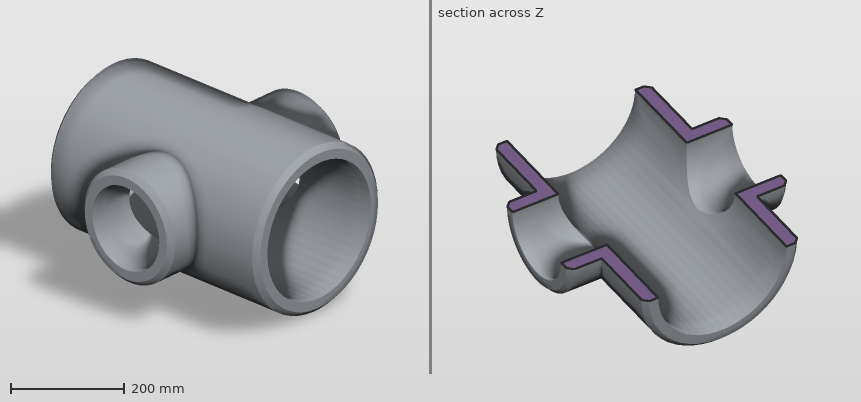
import cadquery as cq

main_length = 508.0
main_diameter = 324.0
main_bore = 266.5
branch_span = 457.0
branch_diameter = 219.5
branch_bore = 162.5
bevel = 10.0


def centred_cylinder(plane, diameter, length):
    """Cylinder centred on the origin, with its axis normal to the plane."""
    return cq.Workplane(plane).circle(diameter / 2).extrude(length / 2, both=True)


def bevelled_cylinder(plane, diameter, length):
    """Centred cylinder with both end rims bevelled."""
    return centred_cylinder(plane, diameter, length).edges("%CIRCLE").chamfer(bevel)


main_body = bevelled_cylinder("YZ", main_diameter, main_length)
branch_body = bevelled_cylinder("XZ", branch_diameter, branch_span)
main_hole = centred_cylinder("YZ", main_bore, main_length)
branch_hole = centred_cylinder("XZ", branch_bore, branch_span)

result = main_body.union(branch_body).cut(main_hole).cut(branch_hole)